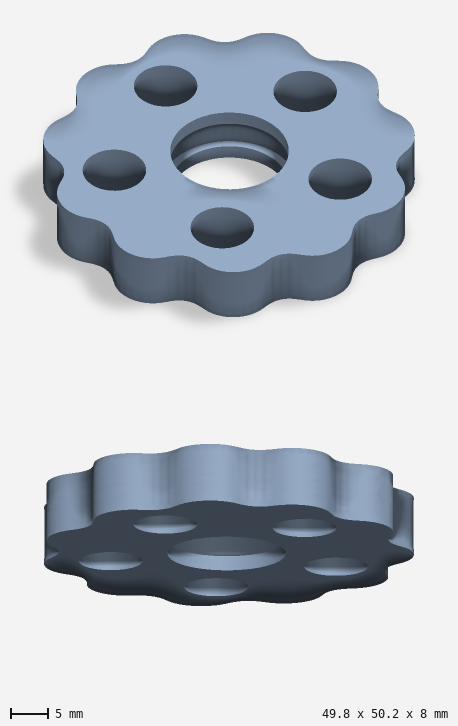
import cadquery as cq
import math

thickness = 8.0

lobe_count = 11
pin_count = lobe_count + 1
pin_circle_radius = 26.9
pin_radius = 2.9
eccentricity = 1.3
points_per_lobe = 24

output_hole_count = 5
output_hole_diameter = 8.6
output_hole_circle_radius = 16.05
first_hole_angle = 90

ring_outer_diameter = 21.0
ring_bore_diameter = 16.0
groove_diameter = 18.2
lip_height = thickness / 4
groove_height = thickness - 2 * lip_height


def lobe_profile(fraction):
    """Point of the lobed outline at a fraction (0 to 1) of one full turn."""
    angle = 2 * math.pi * fraction
    path_x = -pin_circle_radius * math.cos(angle) - eccentricity * math.cos(pin_count * angle)
    path_y = -pin_circle_radius * math.sin(angle) - eccentricity * math.sin(pin_count * angle)
    slope_gain = pin_count * eccentricity
    tangent_x = pin_circle_radius * math.sin(angle) + slope_gain * math.sin(pin_count * angle)
    tangent_y = -pin_circle_radius * math.cos(angle) - slope_gain * math.cos(pin_count * angle)
    length = math.hypot(tangent_x, tangent_y)
    return path_x - pin_radius * tangent_y / length, path_y + pin_radius * tangent_x / length


def make_disc():
    """Lobed disc with a ring of output holes and a seat for the bearing ring."""
    point_count = lobe_count * points_per_lobe
    outline = [lobe_profile(index / point_count) for index in range(point_count)]
    disc = cq.Workplane("XY").spline(outline, periodic=True).close().extrude(thickness)
    bearing_seat = cq.Workplane("XY").circle(ring_outer_diameter / 2).extrude(thickness)
    output_holes = (
        cq.Workplane("XY")
        .polarArray(output_hole_circle_radius, first_hole_angle, 360, output_hole_count)
        .circle(output_hole_diameter / 2)
        .extrude(thickness)
    )
    return disc.cut(bearing_seat).cut(output_holes)


def make_bearing_ring():
    """Plain ring with a wide groove in its bore, leaving a lip at each end."""
    ring = (
        cq.Workplane("XY")
        .circle(ring_outer_diameter / 2)
        .circle(ring_bore_diameter / 2)
        .extrude(thickness)
    )
    groove = (
        cq.Workplane("XY")
        .workplane(offset=lip_height)
        .circle(groove_diameter / 2)
        .extrude(groove_height)
    )
    return ring.cut(groove)


disc = make_disc()
bearing_ring = make_bearing_ring()

result = cq.Compound.makeCompound([disc.val(), bearing_ring.val()])